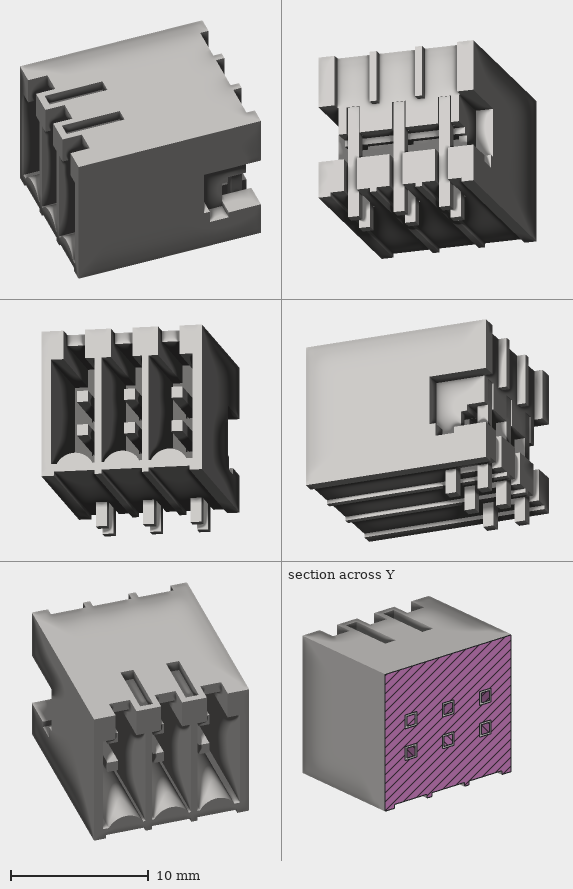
import cadquery as cq


WIDTH = 11.9
LENGTH = 14.2
TOTAL_HEIGHT = 12.3
TAIL_LENGTH = 1.5
HEIGHT = TOTAL_HEIGHT - TAIL_LENGTH
PITCH = 3.5
CENTRE_X = WIDTH / 2
POLE_X = [CENTRE_X - PITCH, CENTRE_X, CENTRE_X + PITCH]
DIVIDER_X = [CENTRE_X - PITCH / 2, CENTRE_X + PITCH / 2]

SIDE_WALL = 0.7
DIVIDER = 0.5
CHAMBER_DEPTH = 9.2
CHAMBER_FLOOR = 0.87
CHAMBER_CEILING = 8.67
KEYWAY_WIDTH = 1.6
KEYWAY_CEILING = 9.98
RIDGE_RADIUS = 1.5
RIDGE_TOP = 1.65

NOTCH_DEPTH = 1.5
RELIEF_WIDTH = 1.0
RELIEF_FRONT = 0.5
RELIEF_LENGTH = 4.5
RELIEF_DEPTH = 0.8

FOOT_HEIGHT = 0.3
SIDE_FOOT = 0.92
INNER_FOOT = 0.5

REAR_SIDE_WALL = 1.25
REAR_RIB = 0.55
BACK_INSET = 0.65
BASE_TOP = 2.75
CORE_SIDE_X = 1.33
OPENING_TOP = 6.98
OPENING_DEPTH = 4.45
OPENING_STEP_DEPTH = 3.98
OPENING_STEP_Z = 3.27
GROOVE_FLOOR = 2.28
CORE_FACE_DEPTH = 2.51
CORE_STEP_DEPTH = 2.04
CORE_STEP_Z = 4.45
CORE_UNDERSIDE = 4.92
LEG_SLOT_WIDTH = 1.0

PIN = 0.82
ROW_PITCH = 2.5
LOWER_ROW_Z = 4.05
OUTER_LEG_DEPTH = 1.11
PIN_TIP_Y = 3.0
LEAD_IN = 1.05
LEAD_IN_DEPTH = 0.5
PIN_ROWS = [
    (LOWER_ROW_Z, LENGTH - OUTER_LEG_DEPTH - ROW_PITCH),
    (LOWER_ROW_Z + ROW_PITCH, LENGTH - OUTER_LEG_DEPTH),
]


def block(x_range, y_range, z_range):
    """Axis-aligned box between the given limits."""
    (x0, x1), (y0, y1), (z0, z1) = x_range, y_range, z_range
    return cq.Workplane("XY").box(x1 - x0, y1 - y0, z1 - z0, centered=False).translate((x0, y0, z0))


def around(centre, size):
    """Limits of a span of the given size about a centre."""
    return (centre - size / 2, centre + size / 2)


def side_prism(depth_points, x_range):
    """Prism along X; its outline is given as (depth from the rear, Z) points."""
    outline = [(LENGTH - depth, z) for depth, z in depth_points]
    x0, x1 = x_range
    return cq.Workplane("YZ", origin=(x0, 0, 0)).polyline(outline).close().extrude(x1 - x0)


def gaps(side, divider):
    """X ranges of the three bays left between the side walls and two dividers."""
    left, right = DIVIDER_X
    half = divider / 2
    return [(side, left - half), (left + half, right - half), (right + half, WIDTH - side)]


def cut_chambers(body):
    depth = (0, CHAMBER_DEPTH)
    for bay, x in zip(gaps(SIDE_WALL, DIVIDER), POLE_X):
        chamber = block(bay, depth, (CHAMBER_FLOOR, CHAMBER_CEILING))
        ridge = (
            cq.Workplane("XZ", origin=(x, 0, RIDGE_TOP - RIDGE_RADIUS))
            .circle(RIDGE_RADIUS)
            .extrude(-CHAMBER_DEPTH)
        )
        keyway = block(around(x, KEYWAY_WIDTH), depth, (CHAMBER_FLOOR + RIDGE_RADIUS, KEYWAY_CEILING))
        body = body.cut(chamber.cut(ridge)).cut(keyway)
    return body


def cut_roof(body):
    for x in POLE_X:
        body = body.cut(block(around(x, KEYWAY_WIDTH), (0, NOTCH_DEPTH), (CHAMBER_CEILING, HEIGHT)))
    for x in DIVIDER_X:
        relief_y = (RELIEF_FRONT, RELIEF_FRONT + RELIEF_LENGTH)
        body = body.cut(block(around(x, RELIEF_WIDTH), relief_y, (HEIGHT - RELIEF_DEPTH, HEIGHT)))
    return body


def cut_underside(body):
    for bay in gaps(SIDE_FOOT, INNER_FOOT):
        body = body.cut(block(bay, (0, LENGTH), (0, FOOT_HEIGHT)))
    return body


def cut_rear(body):
    for bay in gaps(REAR_SIDE_WALL, REAR_RIB):
        body = body.cut(block(bay, (LENGTH - BACK_INSET, LENGTH), (BASE_TOP, HEIGHT)))

    passage = [
        (0, BASE_TOP),
        (0, OPENING_TOP),
        (BACK_INSET, OPENING_TOP),
        (BACK_INSET, CORE_UNDERSIDE),
        (CORE_STEP_DEPTH, CORE_UNDERSIDE),
        (CORE_STEP_DEPTH, CORE_STEP_Z),
        (CORE_FACE_DEPTH, CORE_STEP_Z),
        (CORE_FACE_DEPTH, BASE_TOP),
    ]
    body = body.cut(side_prism(passage, (0, WIDTH)))

    opening = [
        (0, BASE_TOP),
        (0, OPENING_TOP),
        (OPENING_DEPTH, OPENING_TOP),
        (OPENING_DEPTH, OPENING_STEP_Z),
        (OPENING_STEP_DEPTH, OPENING_STEP_Z),
        (OPENING_STEP_DEPTH, GROOVE_FLOOR),
        (CORE_FACE_DEPTH, GROOVE_FLOOR),
        (CORE_FACE_DEPTH, BASE_TOP),
    ]
    for wall in [(0, CORE_SIDE_X), (WIDTH - CORE_SIDE_X, WIDTH)]:
        body = body.cut(side_prism(opening, wall))
    return body


def cut_pin_holes(body):
    for x in POLE_X:
        for row_z, leg_y in PIN_ROWS:
            hole = block(around(x, PIN), (CHAMBER_DEPTH, leg_y), around(row_z, PIN))
            lead_in_y = (CHAMBER_DEPTH, CHAMBER_DEPTH + LEAD_IN_DEPTH)
            lead_in = block(around(x, LEAD_IN), lead_in_y, around(row_z, LEAD_IN))
            leg_slot = block(around(x, LEG_SLOT_WIDTH), (leg_y - PIN / 2, LENGTH), (0, row_z + PIN / 2))
            body = body.cut(hole).cut(lead_in).cut(leg_slot)
    return body


def make_housing():
    body = block((0, WIDTH), (0, LENGTH), (0, HEIGHT))
    for cut_feature in (cut_chambers, cut_roof, cut_underside, cut_rear, cut_pin_holes):
        body = cut_feature(body)
    return body


def make_pin(x, row_z, leg_y):
    """Square pin running to the rear and bent straight down into its tail."""
    leg_back = leg_y + PIN / 2
    contact = block(around(x, PIN), (PIN_TIP_Y, leg_back), around(row_z, PIN))
    leg = block(around(x, PIN), around(leg_y, PIN), (-TAIL_LENGTH, row_z + PIN / 2))
    return contact.union(leg)


housing = make_housing()
pins = [make_pin(x, row_z, leg_y) for x in POLE_X for row_z, leg_y in PIN_ROWS]

result = cq.Compound.makeCompound([housing.solids().val(), *[pin.solids().val() for pin in pins]])